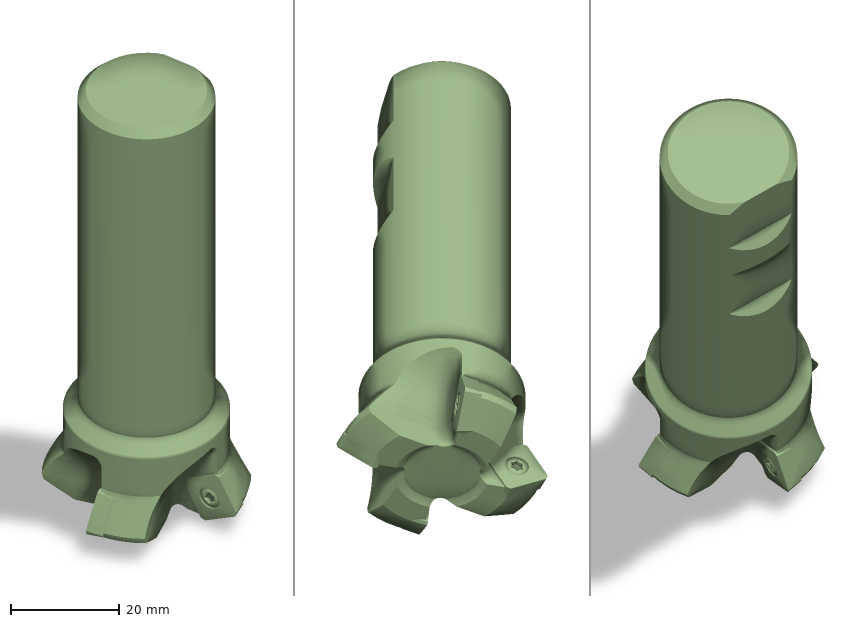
import cadquery as cq
import math

TOTAL_HEIGHT = 95.25
SHANK_RADIUS = 25.4 / 2
SHANK_CHAMFER = 1.5
FLAT_Y = 10.7
END_FLAT_BOTTOM = 82.3
NOTCH_TOP = 72.9
NOTCH_BOTTOM = 59.5

COLLAR_RADIUS = 30.9 / 2
COLLAR_TOP = 21.0
COLLAR_EDGE_ROUND = 0.6
COLLAR_BOTTOM = 12.0
NECK_STEP = 0.3
HEAD_BOTTOM = 0.6
HEAD_CORNER_WIDTH = 1.3
HEAD_CLEARANCE = 0.24
RECESS_MOUTH_RADIUS = 8.7
RECESS_RADIUS = 7.1
RECESS_DEPTH = 1.0

TOOTH_COUNT = 4
WALL_Y = 0.44
FLOOR_X = 6.3
FLOOR_ANGLE = 15.0
RUNOUT_START = 5.9
RUNOUT_RADIUS = 14.1
FLUTE_FILLET = 2.0
FLUTE_REACH = 38.1

CUTTING_RADIUS = 39.9 / 2
INSERT_SIDE = 9.05
INSERT_THICKNESS = 3.3
INSERT_CORNER_WIDTH = 1.0
INSERT_TILT = 30.0
RELIEF_ANGLE = 10.0
LAND_CORNER_DISTANCE = 2.9
LAND_CORNER_WIDTH = 1.2
LAND_HEIGHT = 0.2
SCREW_POCKET_DIAMETER = 4.5
SCREW_POCKET_DEPTH = 0.4
SCREW_HEAD_DIAMETER = 4.2
SOCKET_OUTER_RADIUS = 1.3
SOCKET_RIM = 0.1
SOCKET_INNER_RADIUS = 2.0 / 2
SOCKET_DEPTH = 0.9
SOCKET_LOBES = 6

RELIEF_SETBACK = INSERT_THICKNESS * math.tan(math.radians(RELIEF_ANGLE))

CORNER_DISTANCE = INSERT_SIDE / math.sqrt(2) - INSERT_CORNER_WIDTH / 2
CORNER_TURN = math.radians(45 - INSERT_TILT)
TIP_REACH = CORNER_DISTANCE * math.cos(CORNER_TURN) + INSERT_CORNER_WIDTH / 2 * math.sin(CORNER_TURN)
INSERT_X = CUTTING_RADIUS - TIP_REACH
INSERT_Z = TIP_REACH


def blank():
    """Revolved shank, collar and flared head."""
    tilt = math.radians(INSERT_TILT)
    sin_tilt = math.sin(tilt)
    cos_tilt = math.cos(tilt)
    edge = INSERT_SIDE / 2 - RELIEF_SETBACK + HEAD_CLEARANCE

    def flank_point(along, out):
        """(radius, height) of a point measured along and out from the insert's upper outer edge."""
        return (
            INSERT_X + out * cos_tilt + along * sin_tilt,
            INSERT_Z + out * sin_tilt - along * cos_tilt,
        )

    cut_back = HEAD_CORNER_WIDTH / math.sqrt(2)
    upper_corner = flank_point(edge - cut_back, edge)
    lower_corner = flank_point(edge, edge - cut_back)
    neck_radius = COLLAR_RADIUS + NECK_STEP
    neck_height = upper_corner[1] + (upper_corner[0] - neck_radius) / math.tan(tilt)
    bottom_radius = lower_corner[0] - (lower_corner[1] - HEAD_BOTTOM) / math.tan(tilt)
    shank_bottom = COLLAR_TOP + COLLAR_RADIUS - SHANK_RADIUS
    profile = [
        (0, HEAD_BOTTOM + RECESS_DEPTH),
        (RECESS_RADIUS, HEAD_BOTTOM + RECESS_DEPTH),
        (RECESS_MOUTH_RADIUS, HEAD_BOTTOM),
        (bottom_radius, HEAD_BOTTOM),
        lower_corner,
        upper_corner,
        (neck_radius, neck_height),
        (COLLAR_RADIUS, COLLAR_BOTTOM),
        (COLLAR_RADIUS, COLLAR_TOP),
        (SHANK_RADIUS, shank_bottom),
        (SHANK_RADIUS, TOTAL_HEIGHT - SHANK_CHAMFER),
        (SHANK_RADIUS - SHANK_CHAMFER, TOTAL_HEIGHT),
        (0, TOTAL_HEIGHT),
    ]
    turned_blank = cq.Workplane("XZ").polyline(profile).close().revolve(360, (0, 0), (0, 1))
    collar_edge = turned_blank.edges(cq.selectors.NearestToPointSelector((0, 0, COLLAR_TOP)))
    return collar_edge.fillet(COLLAR_EDGE_ROUND)


def clamping_flats():
    """Cutter for the end flat and the notch below it, both with 45 degree ends."""
    depth = SHANK_RADIUS - FLAT_Y
    end_flat = [
        (FLAT_Y, TOTAL_HEIGHT),
        (FLAT_Y, END_FLAT_BOTTOM),
        (FLAT_Y + depth, END_FLAT_BOTTOM - depth),
        (FLAT_Y + depth, TOTAL_HEIGHT),
    ]
    notch = [
        (FLAT_Y, NOTCH_TOP),
        (FLAT_Y, NOTCH_BOTTOM),
        (FLAT_Y + depth, NOTCH_BOTTOM - depth),
        (FLAT_Y + depth, NOTCH_TOP + depth),
    ]
    plane = cq.Workplane("YZ")
    cutter = plane.polyline(end_flat).close().extrude(SHANK_RADIUS, both=True)
    return cutter.union(plane.polyline(notch).close().extrude(SHANK_RADIUS, both=True))


def flute():
    """Cutter for the flute in front of the +X tooth: straight floor, curved run-out, filleted wall."""
    section = (
        cq.Workplane("XZ")
        .moveTo(0, -FLUTE_REACH)
        .lineTo(0, RUNOUT_START)
        .radiusArc((RUNOUT_RADIUS, RUNOUT_START + RUNOUT_RADIUS), RUNOUT_RADIUS)
        .lineTo(FLUTE_REACH, RUNOUT_START + RUNOUT_RADIUS)
        .lineTo(FLUTE_REACH, -FLUTE_REACH)
        .close()
        .extrude(FLUTE_REACH, both=True)
        .rotate((0, 0, 0), (0, 0, 1), FLOOR_ANGLE)
        .translate((FLOOR_X, 0, 0))
    )
    tooth_side = cq.Workplane("XZ", origin=(0, WALL_Y, 0)).rect(4 * FLUTE_REACH, 4 * FLUTE_REACH)
    trimmed = section.cut(tooth_side.extrude(-2 * FLUTE_REACH))
    corner = trimmed.faces(">Y").edges("|Z").edges("<X")
    return corner.fillet(FLUTE_FILLET)


def octagon(plane, corner_distance, corner_width):
    """Square with cut corners, given the distance and width of the corner cuts."""
    long_leg = (corner_distance + corner_width / 2) / math.sqrt(2)
    short_leg = (corner_distance - corner_width / 2) / math.sqrt(2)
    points = []
    for a, b in [(1, 1), (-1, 1), (-1, -1), (1, -1)]:
        pair = [(a * long_leg, b * short_leg), (a * short_leg, b * long_leg)]
        points += pair if a * b > 0 else pair[::-1]
    return plane.polyline(points).close()


def insert_blank():
    """Tapered insert body, cutting face at Z = 0 and facing +Z."""
    face = octagon(cq.Workplane("XY"), CORNER_DISTANCE, INSERT_CORNER_WIDTH)
    return face.extrude(-INSERT_THICKNESS, taper=RELIEF_ANGLE)


def chip_faces():
    """Sloping chip faces that rise from the cutting edges to a land around the screw."""
    rim = octagon(cq.Workplane("XY"), CORNER_DISTANCE, INSERT_CORNER_WIDTH)
    land = octagon(rim.workplane(offset=LAND_HEIGHT), LAND_CORNER_DISTANCE, LAND_CORNER_WIDTH)
    return land.loft(ruled=True)


def screw_pocket():
    """Cutter for the pocket around the conical screw head, and for the star socket in the head."""
    bottom = cq.Workplane("XY").workplane(offset=LAND_HEIGHT - SCREW_POCKET_DEPTH)
    pocket = bottom.circle(SCREW_POCKET_DIAMETER / 2).extrude(SCREW_POCKET_DEPTH)
    head = (
        bottom.circle(SCREW_HEAD_DIAMETER / 2)
        .workplane(offset=SCREW_POCKET_DEPTH)
        .circle(SOCKET_OUTER_RADIUS + SOCKET_RIM)
        .loft()
    )
    star = []
    for i in range(2 * SOCKET_LOBES):
        radius = SOCKET_INNER_RADIUS if i % 2 else SOCKET_OUTER_RADIUS
        angle = math.pi * i / SOCKET_LOBES
        star.append((radius * math.cos(angle), radius * math.sin(angle)))
    socket = bottom.workplane(offset=SCREW_POCKET_DEPTH).polyline(star).close().extrude(-SOCKET_DEPTH)
    return pocket.cut(head).union(socket)


def mount(part):
    """Turn a part from its own frame to the +X tooth, cutting face towards -Y."""
    tilted = part.rotate((0, 0, 0), (0, 0, 1), INSERT_TILT)
    return tilted.rotate((0, 0, 0), (1, 0, 0), 90).translate((INSERT_X, 0, INSERT_Z))


def turned(part, index):
    """Copy of a part moved from the +X tooth to another tooth."""
    return part.rotate((0, 0, 0), (0, 0, 1), index * 360 / TOOTH_COUNT)


seat = mount(insert_blank())
insert = mount(insert_blank().union(chip_faces()).cut(screw_pocket()))

cutter_body = blank().cut(clamping_flats())
flute_cutter = flute()
for tooth in range(TOOTH_COUNT):
    cutter_body = cutter_body.cut(turned(flute_cutter, tooth)).cut(turned(seat, tooth))

inserts = [turned(insert, tooth).val() for tooth in range(TOOTH_COUNT)]

result = cq.Compound.makeCompound([cutter_body.val(), *inserts])